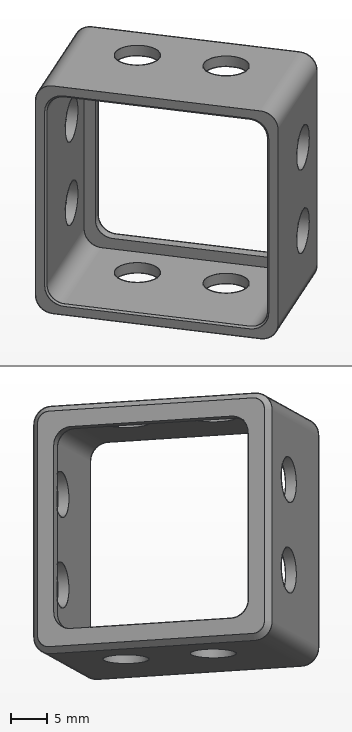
import cadquery as cq

outer_side = 34.67
depth = 20.63
corner_radius = 2.5
wall = 1.6
flange_thickness = wall
flange_width = wall
back_chamfer = 0.83
mouth_chamfer = 0.28

hole_diameter = 6.35
hole_spacing = 2 * hole_diameter
hole_from_back = 7.95

cavity_side = outer_side - 2 * wall
window_side = cavity_side - 2 * flange_width
back_y = depth / 2
front_y = -depth / 2


def rounded_block(side, start_y, end_y):
    """Square block along Y with its four long edges rounded."""
    length = end_y - start_y
    block = cq.Workplane("XY").box(side, length, side)
    block = block.edges("|Y").fillet(corner_radius)
    return block.translate((0, (start_y + end_y) / 2, 0))


def hole_pair(plane):
    """Two cylinders side by side that pass through both opposite walls."""
    hole_y = back_y - hole_from_back
    half_spacing = hole_spacing / 2
    if plane == "XY":
        centers = [(-half_spacing, hole_y), (half_spacing, hole_y)]
    else:
        centers = [(hole_y, -half_spacing), (hole_y, half_spacing)]
    sketch = cq.Workplane(plane).pushPoints(centers).circle(hole_diameter / 2)
    return sketch.extrude(outer_side, both=True)


body = rounded_block(outer_side, front_y, back_y).faces(">Y").chamfer(back_chamfer)

body = body.cut(rounded_block(cavity_side, front_y, back_y - flange_thickness))

body = body.cut(rounded_block(window_side, front_y, back_y))

for plane in ("XY", "YZ"):
    body = body.cut(hole_pair(plane))

mouth_edges = body.faces("<Y").wires(cq.selectors.LengthNthSelector(0)).edges()
body = body.newObject(mouth_edges.vals()).chamfer(mouth_chamfer)

result = body